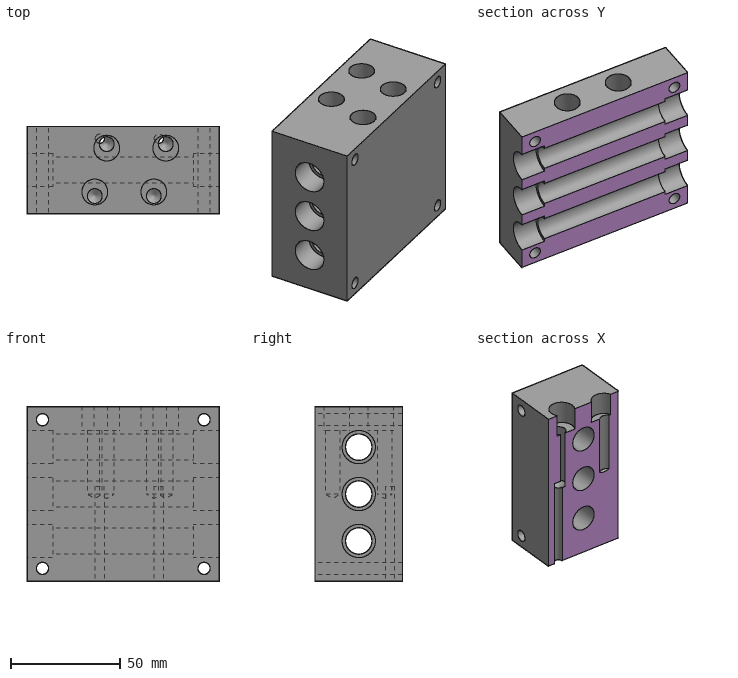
import cadquery as cq
import math

length = 88.0
width = 40.0
height = 80.0

mount_diameter = 5.5
mount_side_margin = 7.0
mount_end_margin = 6.0

gallery_count = 3
gallery_pitch = 21.5
gallery_diameter = 12.0
gallery_port_diameter = 15.2
gallery_port_depth = 12.0

outlet_diameter = 11.8
outlet_depth = 11.0
outlet_y = 10.0
front_outlet_x = -13.0
rear_outlet_shift = 5.5
outlet_pitch = 27.0
drilling_diameter = 6.8
drilling_y = 11.9
drilling_depth = 40.0
drill_point_angle = 118.0

lower_diameter = 4.2
lower_shift_x = -3.2
lower_shift_y = 2.5
lower_overlap = 3.5


def mounting_holes():
    spacing_x = length - 2 * mount_side_margin
    spacing_z = height - 2 * mount_end_margin
    return (
        cq.Workplane("XZ", origin=(0, width / 2, 0))
        .rect(spacing_x, spacing_z, forConstruction=True)
        .vertices()
        .circle(mount_diameter / 2)
        .extrude(width)
    )


def gallery(z):
    """Through bore along X with a counterbored port at both ends."""
    left_end = cq.Workplane("YZ", origin=(-length / 2, 0, z))
    port = left_end.circle(gallery_port_diameter / 2).extrude(gallery_port_depth)
    bore = left_end.circle(gallery_diameter / 2).extrude(length)
    return bore.union(port).union(port.mirror("YZ"))


def drilling(x, y):
    """Drilling down from the top face, ending in a conical drill point."""
    radius = drilling_diameter / 2
    point_length = radius / math.tan(math.radians(drill_point_angle / 2))
    top = height / 2
    shoulder = top - drilling_depth
    profile = [(0, top), (radius, top), (radius, shoulder), (0, shoulder - point_length)]
    return (
        cq.Workplane("XZ")
        .polyline(profile)
        .close()
        .revolve(360, (0, 0, 0), (0, 1, 0))
        .translate((x, y, 0))
    )


def outlet(x, side):
    """Top port and its drilling; side is -1 at the front and +1 at the rear."""
    port = (
        cq.Workplane("XY", origin=(x, side * outlet_y, height / 2))
        .circle(outlet_diameter / 2)
        .extrude(-outlet_depth)
    )
    return port.union(drilling(x, side * drilling_y))


def lower_drilling(x):
    """Flat-ended drilling up from the bottom, overlapping the rear drilling at x."""
    return (
        cq.Workplane("XY", origin=(x + lower_shift_x, drilling_y + lower_shift_y, -height / 2))
        .circle(lower_diameter / 2)
        .extrude(height - drilling_depth + lower_overlap)
    )


result = cq.Workplane("XY").box(length, width, height).cut(mounting_holes())

for index in range(gallery_count):
    gallery_z = (index - (gallery_count - 1) / 2) * gallery_pitch
    result = result.cut(gallery(gallery_z))

for front_x in (front_outlet_x, front_outlet_x + outlet_pitch):
    rear_x = front_x + rear_outlet_shift
    result = result.cut(outlet(front_x, -1))
    result = result.cut(outlet(rear_x, 1))
    result = result.cut(lower_drilling(rear_x))